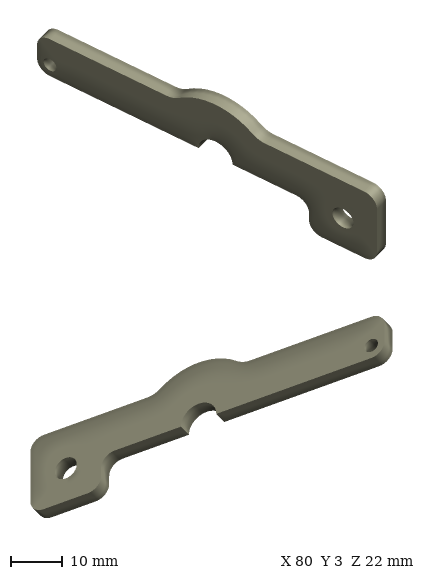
import cadquery as cq

length = 80.0
thickness = 3.0
arm_height = 10.0
foot_width = 16.0
foot_drop = 8.0
corner_radius = 3.0

hump_x = 42.0
hump_radius = 14.0
hump_blend_radius = 5.0
notch_radius = 4.0

pin_hole_diameter = 3.0
pivot_hole_diameter = 5.0
pivot_x = length - foot_width / 2

foot_x = length - foot_width
hump_half_width = (hump_radius**2 - arm_height**2) ** 0.5


def drill(plate, x, z, diameter):
    """Cut a round hole through the plate along Y."""
    cutter = (
        cq.Workplane("XZ")
        .center(x, z)
        .circle(diameter / 2)
        .extrude(thickness / 2, both=True)
    )
    return plate.cut(cutter)


def round_edges(plate, points, radius):
    """Fillet the through-thickness edges at the given (x, z) points."""
    for x, z in points:
        edge = cq.selectors.NearestToPointSelector((x, 0, z))
        plate = plate.edges("|Y").edges(edge).fillet(radius)
    return plate


plate = (
    cq.Workplane("XZ")
    .moveTo(0, 0)
    .lineTo(0, arm_height)
    .lineTo(hump_x - hump_half_width, arm_height)
    .threePointArc((hump_x, hump_radius), (hump_x + hump_half_width, arm_height))
    .lineTo(length, arm_height)
    .lineTo(length, -foot_drop)
    .lineTo(foot_x, -foot_drop)
    .lineTo(foot_x, 0)
    .close()
    .extrude(thickness / 2, both=True)
)

corners = [
    (0, 0),
    (0, arm_height),
    (length, arm_height),
    (length, -foot_drop),
    (foot_x, -foot_drop),
    (foot_x, 0),
]
plate = round_edges(plate, corners, corner_radius)

hump_ends = [(hump_x + side * hump_half_width, arm_height) for side in (-1, 1)]
plate = round_edges(plate, hump_ends, hump_blend_radius)

plate = drill(plate, hump_x, 0, 2 * notch_radius)
plate = drill(plate, corner_radius, corner_radius, pin_hole_diameter)
plate = drill(plate, pivot_x, 0, pivot_hole_diameter)

result = plate